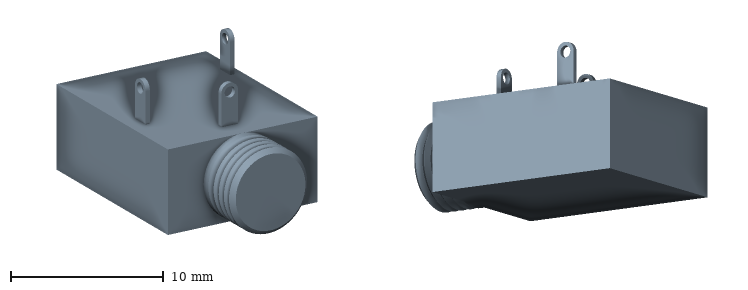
import cadquery as cq

overall_length = 17.5
case_length = 14.0
case_width = 11.5
case_height = 6.0
cover_thickness = 1.0

bushing_radius = case_height / 2
bushing_axis_z = case_height / 2
bushing_length = overall_length - case_length
collar_length = 0.6
crest_count = 4
thread_pitch = (bushing_length - collar_length) / (crest_count + 0.5)
thread_depth = thread_pitch / 2
root_radius = bushing_radius - thread_depth

terminal_height = 3.0
terminal_width = 1.3
terminal_thickness = 0.35
terminal_hole_diameter = 0.79
terminal_places = [
    (3.9, 4.99, 0),
    (8.7, -4.46, 0),
    (12.2, 0, 90),
]


def make_case():
    """Rectangular case resting on top of the cover."""
    return (
        cq.Workplane("XY", origin=(0, 0, cover_thickness))
        .rect(case_length, case_width)
        .extrude(case_height - cover_thickness)
        .translate((case_length / 2, 0, 0))
    )


def make_bushing():
    """Revolved collar and V-shaped thread crests, ending at a root."""
    outline = (
        cq.Workplane("XZ")
        .moveTo(0, 0)
        .lineTo(0, bushing_radius)
        .lineTo(collar_length, bushing_radius)
    )
    for crest in range(crest_count):
        root_x = collar_length + (crest + 0.5) * thread_pitch
        outline = outline.lineTo(root_x, root_radius)
        outline = outline.lineTo(root_x + thread_pitch / 2, bushing_radius)
    outline = outline.lineTo(bushing_length, root_radius).lineTo(bushing_length, 0).close()
    bushing = outline.revolve(360, (0, 0, 0), (1, 0, 0))
    return bushing.translate((case_length, 0, bushing_axis_z))


def make_terminal(x, y, angle):
    """Upright flat lug with a rounded end and a concentric wire hole."""
    half_width = terminal_width / 2
    hole_height = terminal_height - half_width
    lug = (
        cq.Workplane("XZ")
        .moveTo(-half_width, 0)
        .lineTo(-half_width, hole_height)
        .threePointArc((0, terminal_height), (half_width, hole_height))
        .lineTo(half_width, 0)
        .close()
        .moveTo(0, hole_height)
        .circle(terminal_hole_diameter / 2)
        .extrude(terminal_thickness / 2, both=True)
    )
    return lug.rotate((0, 0, 0), (0, 0, 1), angle).translate((x, y, case_height))


def make_housing():
    """Case with the bushing and the terminals, as one solid."""
    housing = make_case().union(make_bushing())
    for x, y, angle in terminal_places:
        housing = housing.union(make_terminal(x, y, angle))
    return housing.solids()


def make_cover():
    """Flat plate closing the underside of the case."""
    return (
        cq.Workplane("XY")
        .rect(case_length, case_width)
        .extrude(cover_thickness)
        .translate((case_length / 2, 0, 0))
    )


housing = make_housing()
cover = make_cover()
result = cq.Compound.makeCompound([housing.val(), cover.val()])